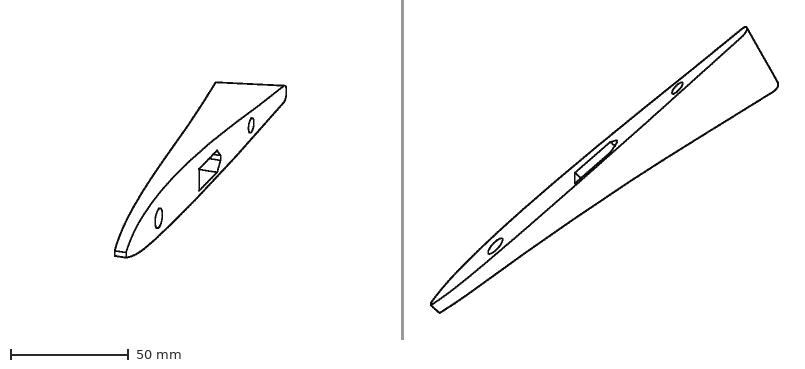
import cadquery as cq

length = 187.3
tail_width = 28.3
nose_width = 5.2
tail_setback = 9.0
tail_fillet = 3.2
cut_margin = 1.9

nose_top = (0.0, 8.5)
nose_bottom = (0.0, 6.0)
upper_points = [nose_top, (5.6, 12.4), (22.5, 18.0), (61.8, 21.0), (117.0, 17.8), (length, 10.7)]
lower_points = [(length, 3.4), (117.0, 0.5), (75.0, 0.0), (32.8, 0.7), (9.0, 3.4), nose_bottom]

tail_corner = (-tail_width, length - tail_setback)
face_points = [(-nose_width, 0.0), (-8.2, 48.7), (-11.8, 80.5), (-16.3, 112.4), (-22.0, 144.2), tail_corner]

cross_holes = [(38.2, 8.8, 8.6), (146.0, 8.0, 6.4)]

slot_start = 85.4
slot_end = 110.3
slot_bottom = 2.5
slot_top = 12.5
slot_chamfer = 4.0


def airfoil_bar():
    """Airfoil profile extruded toward -X, wider than the finished blade."""
    return (
        cq.Workplane("YZ")
        .moveTo(*upper_points[0])
        .spline(upper_points[1:], includeCurrent=True)
        .lineTo(*lower_points[0])
        .spline(lower_points[1:], includeCurrent=True)
        .close()
        .extrude(-tail_width - cut_margin)
    )


def plan_block():
    """Plan shape with the flat face, curved face and slanted tail."""
    return (
        cq.Workplane("XY", origin=(0, 0, -cut_margin))
        .lineTo(*face_points[0])
        .spline(face_points[1:], includeCurrent=True)
        .lineTo(0, length)
        .close()
        .extrude(max(z for y, z in upper_points) + 2 * cut_margin)
    )


def cross_hole(y, z, diameter):
    return cq.Workplane("YZ").center(y, z).circle(diameter / 2).extrude(-tail_width)


def cross_slot():
    slot_length = slot_end - slot_start
    slot_height = slot_top - slot_bottom
    return (
        cq.Workplane("YZ", origin=(0, slot_start, slot_bottom))
        .rect(slot_length, slot_height, centered=False)
        .extrude(-tail_width)
        .faces(">Y")
        .edges("|X")
        .chamfer(slot_chamfer)
    )


blade = airfoil_bar().intersect(plan_block())

tail_edges = blade.faces(">Y").edges("not |Z")
blade = tail_edges.fillet(tail_fillet)

for y, z, diameter in cross_holes:
    blade = blade.cut(cross_hole(y, z, diameter))

result = blade.cut(cross_slot())